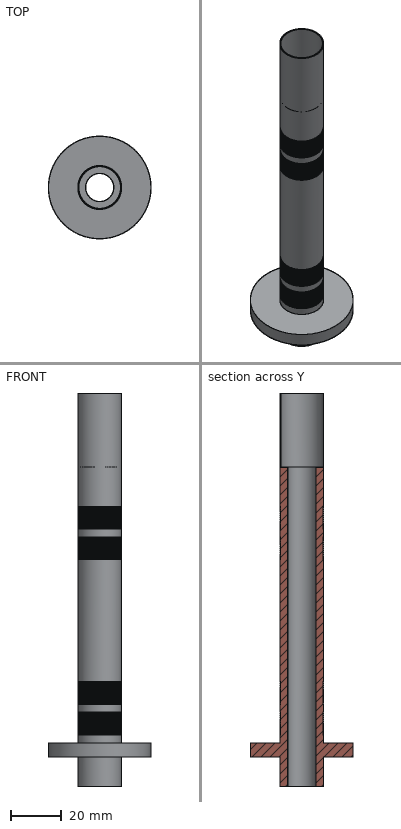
import cadquery as cq

total_height = 154.5
tube_diameter = 17.28

flange_diameter = 40.42
flange_bottom = 11.55
flange_thickness = 5.6

socket_diameter = 16.4
socket_depth = 29.0
bore_diameter = 10.97

band_height = 9.0
grooves_per_band = 12
groove_width = 0.5
groove_depth = 0.2
band_gap = 3.0
pair_bottoms = [20.25, 89.15]

groove_pitch = (band_height - groove_width) / (grooves_per_band - 1)
band_spacing = band_height + band_gap


def cylinder(diameter, bottom, height):
    return cq.Workplane("XY").workplane(offset=bottom).circle(diameter / 2).extrude(height)


def add_groove_band(profile, band_bottom):
    """Continue the outer line of the half-profile up through one band of V grooves."""
    rim_radius = tube_diameter / 2
    root_radius = rim_radius - groove_depth
    for index in range(grooves_per_band):
        groove_bottom = band_bottom + index * groove_pitch
        profile = profile.lineTo(rim_radius, groove_bottom)
        profile = profile.lineTo(root_radius, groove_bottom + groove_width / 2)
        profile = profile.lineTo(rim_radius, groove_bottom + groove_width)
    return profile


def grooved_rod():
    """Solid rod with all the grooves, made by turning its half-profile about Z."""
    rim_radius = tube_diameter / 2
    profile = cq.Workplane("XZ").lineTo(rim_radius, 0)
    for pair_bottom in pair_bottoms:
        for band_bottom in (pair_bottom, pair_bottom + band_spacing):
            profile = add_groove_band(profile, band_bottom)
    profile = profile.lineTo(rim_radius, total_height).lineTo(0, total_height).close()
    return profile.revolve(360, (0, 0), (0, 1))


def stepped_bore():
    through_hole = cylinder(bore_diameter, 0, total_height)
    socket = cylinder(socket_diameter, total_height - socket_depth, socket_depth)
    return through_hole.union(socket)


flange = cylinder(flange_diameter, flange_bottom, flange_thickness)
result = grooved_rod().union(flange).cut(stepped_bore())